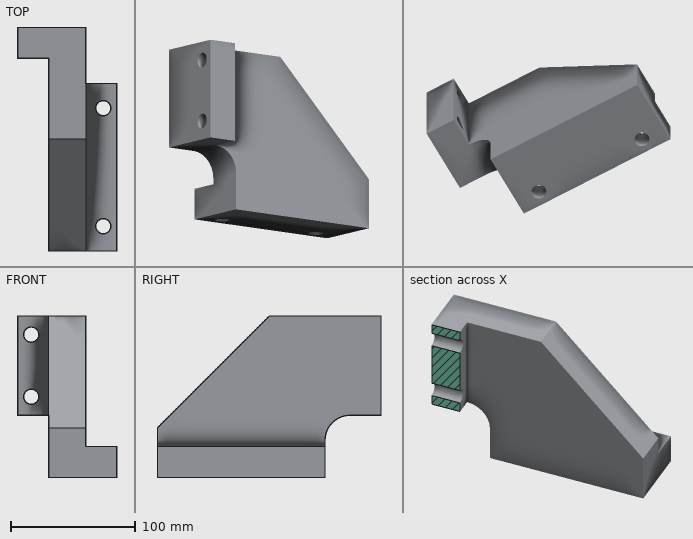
import cadquery as cq

width = 80.0
depth = 180.0
height = 130.0

flange_thickness = 25.0
flange_overhang = 25.0
web_thickness = width - 2 * flange_overhang
wall_flange_height = 80.0
base_length = 135.0
slope_size = 90.0
inner_radius = 20.0

hole_diameter = 12.0
hole_edge_distance = 11.0
wall_hole_spacing = 50.0
wall_hole_top_margin = 15.0
base_hole_spacing = 95.0

web_left = flange_overhang
web_right = web_left + web_thickness
wall_flange_front = depth - flange_thickness
wall_flange_bottom = height - wall_flange_height
base_hole_margin = (base_length - base_hole_spacing) / 2


def make_web():
    """Upright plate with a sloped front corner and a rounded inner corner at the back."""
    outline = [
        (0, 0),
        (base_length, 0),
        (base_length, wall_flange_bottom),
        (depth, wall_flange_bottom),
        (depth, height),
        (slope_size, height),
        (0, height - slope_size),
    ]
    web = cq.Workplane("YZ").polyline(outline).close().extrude(web_thickness)
    inner_corner = cq.selectors.NearestToPointSelector(
        (web_thickness / 2, base_length, wall_flange_bottom)
    )
    return web.edges("|X").edges(inner_corner).fillet(inner_radius).translate((web_left, 0, 0))


def make_wall_flange():
    """Upright flange at the back, reaching from the web to -X."""
    return cq.Workplane("XY").box(
        web_right, flange_thickness, wall_flange_height, centered=False
    ).translate((0, wall_flange_front, wall_flange_bottom))


def make_base_flange():
    """Flat flange at the bottom, reaching from the web to +X."""
    return cq.Workplane("XY").box(
        width - web_left, base_length, flange_thickness, centered=False
    ).translate((web_left, 0, 0))


def make_wall_holes():
    """Pair of through holes along Y in the wall flange."""
    top_hole_z = height - wall_hole_top_margin
    centers = [
        (hole_edge_distance, top_hole_z),
        (hole_edge_distance, top_hole_z - wall_hole_spacing),
    ]
    return (
        cq.Workplane("XZ", origin=(0, wall_flange_front, 0))
        .pushPoints(centers)
        .circle(hole_diameter / 2)
        .extrude(-flange_thickness)
    )


def make_base_holes():
    """Pair of through holes along Z in the base flange."""
    hole_x = width - hole_edge_distance
    centers = [
        (hole_x, base_hole_margin),
        (hole_x, base_hole_margin + base_hole_spacing),
    ]
    return (
        cq.Workplane("XY")
        .pushPoints(centers)
        .circle(hole_diameter / 2)
        .extrude(flange_thickness)
    )


body = make_web().union(make_wall_flange()).union(make_base_flange())
result = body.cut(make_wall_holes()).cut(make_base_holes())